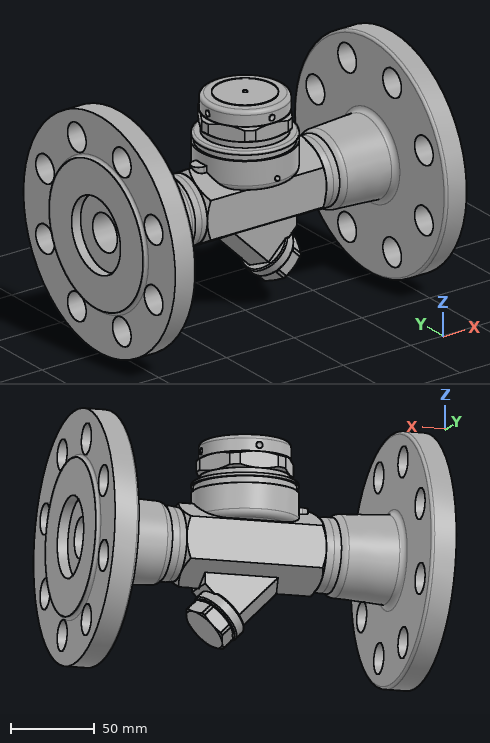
import cadquery as cq
import math


overall_length = 220
half_length = overall_length / 2
flange_dia = 155.0
flange_thickness = 15.6
flange_edge_radius = 1.8
raised_face_dia = 96.0
raised_face_height = 2.5
raised_face_fillet = 2.0
bolt_circle_dia = 120.0
bolt_hole_dia = 19.0
bolt_count = 8
socket_dia = 50.0
socket_depth = 6.5
bore_dia = 25.0

hub_root_radius = 27.0
hub_tip_radius = 25.3
hub_root_fillet = 3.5
hub_length = 34.8
hub_shoulder_length = 4.0
collar_dia = 46.0
collar_length = 4.6
collar_end_radius = 22.2

body_length = 88
body_half_length = body_length / 2
body_across_flats = 44.9
body_corner_radius = body_across_flats / math.sqrt(3)
body_end_radius = 22.5
body_end_bevel = 2.5

boss_dia = 65.0
boss_bottom_z = 13.9
boss_bottom_fillet = 4.5
boss_shoulder_z = 34.0
spigot_dia = 62.0
spigot_top_z = 38.3
marker_ball_radius = 1.5
boss_ball_y = -33
boss_ball_z = 20.5
lug_radius = 5.3
lug_center_x = -34.3
lug_top_z = 27.0

branch_angle = 45
branch_axis_offset = 17.8
branch_across_flats = 25.0
branch_end = 38.7
branch_front_x = 29.3
branch_ring_start = 37.0
branch_ring_end = 44.9
branch_ring_dia = 34.0
branch_ring_chamfer = 0.9
branch_hex_end = 54.1
branch_hex_across_flats = 29.0
branch_hex_corner_dia = 32.3
branch_hex_bevel = 0.7

cap_flange_edge_radius = 1.5
cap_flange_thickness = 2.2
cap_neck_dia = 54.0
cap_neck_top_z = 44.5
cap_hex_top_z = 54.5
cap_hex_across_flats = 54.5
cap_hex_corner_dia = 59.6
cap_hex_bevel = 1.5
cap_head_dia = 55.5
cap_head_top_z = 65.1
cap_head_crown_dia = 50.0
cap_head_edge_radius = (cap_head_dia - cap_head_crown_dia) / 2
cap_pad_dia = 40.0
cap_pad_height = 0.5
cap_ball_z = 65.1
cap_dimple_radius = 2.0
cap_dimple_z = 58.3
cap_dimple_count = 4


def hexagon_prism(across_flats, height):
    """Hexagonal prism along +Z with two corners on the X axis."""
    return cq.Workplane("XY").polygon(6, across_flats / math.cos(math.pi / 6)).extrude(height)


def rounded_hexagon(across_flats, corner_dia, height, bevel):
    """Hexagonal prism whose corners are turned to a cylinder and beveled at both ends."""
    bevel_width = (corner_dia - across_flats) / 2
    turned = cq.Workplane("XY").circle(corner_dia / 2).extrude(height)
    turned = turned.faces("<Z or >Z").chamfer(bevel, bevel_width)
    return hexagon_prism(across_flats, height).intersect(turned)


def pipe_end():
    """Inlet end at -X: raised face, flange, tapered hub and collar, turned about the X axis."""
    flange_face_x = -half_length + raised_face_height
    flange_back_x = flange_face_x + flange_thickness
    hub_tip_x = flange_back_x + hub_length
    collar_x = hub_tip_x + hub_shoulder_length
    flange_radius = flange_dia / 2
    raised_radius = raised_face_dia / 2
    collar_radius = collar_dia / 2
    diagonal = 1 - math.sqrt(0.5)
    raised_fillet_mid = (
        flange_face_x - raised_face_fillet * diagonal,
        raised_radius + raised_face_fillet * diagonal,
    )
    flange_edge_mid = (
        flange_back_x - flange_edge_radius * diagonal,
        flange_radius - flange_edge_radius * diagonal,
    )
    root_fillet_mid = (
        flange_back_x + hub_root_fillet * diagonal,
        hub_root_radius + hub_root_fillet * diagonal,
    )
    turned = (
        cq.Workplane("XY")
        .moveTo(-half_length, 0)
        .lineTo(-half_length, raised_radius)
        .lineTo(flange_face_x - raised_face_fillet, raised_radius)
        .threePointArc(raised_fillet_mid, (flange_face_x, raised_radius + raised_face_fillet))
        .lineTo(flange_face_x, flange_radius)
        .lineTo(flange_back_x - flange_edge_radius, flange_radius)
        .threePointArc(flange_edge_mid, (flange_back_x, flange_radius - flange_edge_radius))
        .lineTo(flange_back_x, hub_root_radius + hub_root_fillet)
        .threePointArc(root_fillet_mid, (flange_back_x + hub_root_fillet, hub_root_radius))
        .lineTo(hub_tip_x, hub_tip_radius)
        .tangentArcPoint((collar_x, collar_radius), relative=False)
        .lineTo(collar_x + collar_length, collar_radius)
        .tangentArcPoint((-body_half_length, collar_end_radius), relative=False)
        .lineTo(-body_half_length, 0)
        .close()
        .revolve(360, (0, 0, 0), (1, 0, 0))
    )
    bolt_holes = (
        cq.Workplane("YZ", origin=(-half_length, 0, 0))
        .transformed(rotate=(0, 0, 180 / bolt_count))
        .polarArray(bolt_circle_dia / 2, 0, 360, bolt_count)
        .circle(bolt_hole_dia / 2)
        .extrude(raised_face_height + flange_thickness)
    )
    socket = cq.Workplane("YZ", origin=(-half_length, 0, 0)).circle(socket_dia / 2).extrude(socket_depth)
    bore = (
        cq.Workplane("YZ", origin=(-half_length, 0, 0))
        .circle(bore_dia / 2)
        .extrude(half_length - body_half_length)
    )
    return turned.cut(bolt_holes).cut(socket).cut(bore)


def hexagonal_body():
    """Hexagonal bar along X with corners up and down, both ends beveled by a cone."""
    bar = (
        hexagon_prism(body_across_flats, body_length)
        .rotate((0, 0, 0), (0, 1, 0), 90)
        .translate((-body_half_length, 0, 0))
    )
    turned = (
        cq.Workplane("YZ", origin=(-body_half_length, 0, 0))
        .circle(body_corner_radius)
        .extrude(body_length)
        .faces("<X or >X")
        .chamfer(body_end_bevel, body_corner_radius - body_end_radius)
    )
    return bar.intersect(turned)


def cap_boss():
    """Round boss with its top spigot, the side lug and the small marker ball."""
    barrel = (
        cq.Workplane("XY", origin=(0, 0, boss_bottom_z))
        .circle(boss_dia / 2)
        .extrude(boss_shoulder_z - boss_bottom_z)
        .faces("<Z")
        .edges()
        .fillet(boss_bottom_fillet)
    )
    spigot = (
        cq.Workplane("XY", origin=(0, 0, boss_shoulder_z))
        .circle(spigot_dia / 2)
        .extrude(spigot_top_z - boss_shoulder_z)
    )
    lug_height = lug_top_z - boss_bottom_z
    lug_tip = (
        cq.Workplane("XY", origin=(lug_center_x, 0, boss_bottom_z))
        .circle(lug_radius)
        .extrude(lug_height)
    )
    lug_web = (
        cq.Workplane("XY", origin=(lug_center_x / 2, 0, boss_bottom_z))
        .rect(-lug_center_x, 2 * lug_radius)
        .extrude(lug_height)
    )
    ball = cq.Workplane("XY").sphere(marker_ball_radius).translate((0, boss_ball_y, boss_ball_z))
    return barrel.union(spigot).union(lug_tip).union(lug_web).union(ball)


def along_branch(shape, distance):
    """Move a shape built along +Z onto the branch axis, its base at the given distance."""
    to_axis = branch_axis_offset * math.sin(math.radians(branch_angle))
    return (
        shape.translate((0, 0, distance))
        .rotate((0, 0, 0), (0, 1, 0), 180 - branch_angle)
        .translate((-to_axis, 0, -to_axis))
    )


def strainer_branch():
    """Slanted branch with a ridge on its lower side, ending in a ring and a hexagon head."""
    half_width = branch_across_flats / 2
    ridge_edge = half_width * math.tan(math.pi / 6)
    ridge = half_width / math.cos(math.pi / 6)
    inner_side = -body_across_flats
    section = [
        (ridge, 0),
        (ridge_edge, half_width),
        (inner_side, half_width),
        (inner_side, -half_width),
        (ridge_edge, -half_width),
    ]
    slanted = cq.Workplane("XY").polyline(section).close().extrude(branch_end)
    slanted = along_branch(slanted, 0)
    trim_height = 2 * branch_hex_end
    kept_region = (
        cq.Workplane("XY", origin=(0, 0, -trim_height))
        .rect(2 * branch_front_x, 2 * branch_across_flats)
        .extrude(trim_height)
    )
    slanted = slanted.intersect(kept_region)
    ring = (
        cq.Workplane("XY")
        .circle(branch_ring_dia / 2)
        .extrude(branch_ring_end - branch_ring_start)
        .faces("<Z or >Z")
        .chamfer(branch_ring_chamfer)
    )
    head = rounded_hexagon(
        branch_hex_across_flats,
        branch_hex_corner_dia,
        branch_hex_end - branch_ring_end,
        branch_hex_bevel,
    )
    return slanted.union(along_branch(ring, branch_ring_start)).union(along_branch(head, branch_ring_end))


def make_housing():
    """Valve housing: body, both flanged ends, cap boss and strainer branch."""
    inlet = pipe_end()
    outlet = inlet.mirror("YZ")
    return hexagonal_body().union(inlet).union(outlet).union(cap_boss()).union(strainer_branch())


def make_cap():
    """Cap seated on the spigot: flange, neck, wrench hexagon and round head."""
    flange_top_z = spigot_top_z + cap_flange_thickness
    flange = (
        cq.Workplane("XY", origin=(0, 0, spigot_top_z))
        .circle(boss_dia / 2)
        .extrude(cap_flange_thickness)
        .faces(">Z")
        .edges()
        .fillet(cap_flange_edge_radius)
    )
    neck = (
        cq.Workplane("XY", origin=(0, 0, flange_top_z))
        .circle(cap_neck_dia / 2)
        .extrude(cap_neck_top_z - flange_top_z)
    )
    wrench_hexagon = rounded_hexagon(
        cap_hex_across_flats,
        cap_hex_corner_dia,
        cap_hex_top_z - cap_neck_top_z,
        cap_hex_bevel,
    ).translate((0, 0, cap_neck_top_z))
    head = (
        cq.Workplane("XY", origin=(0, 0, cap_hex_top_z))
        .circle(cap_head_dia / 2)
        .extrude(cap_head_top_z - cap_hex_top_z)
        .faces(">Z")
        .edges()
        .fillet(cap_head_edge_radius)
    )
    pad = cq.Workplane("XY", origin=(0, 0, cap_head_top_z)).circle(cap_pad_dia / 2).extrude(cap_pad_height)
    ball = cq.Workplane("XY").sphere(marker_ball_radius).translate((0, 0, cap_ball_z))
    cap = flange.union(neck).union(wrench_hexagon).union(head).union(pad).union(ball)
    dimple = cq.Workplane("XY").sphere(cap_dimple_radius).translate((cap_head_dia / 2, 0, cap_dimple_z))
    for index in range(cap_dimple_count):
        cap = cap.cut(dimple.rotate((0, 0, 0), (0, 0, 1), index * 360 / cap_dimple_count))
    return cap


housing = make_housing()
cap = make_cap()
result = cq.Compound.makeCompound([housing.val(), cap.val()])